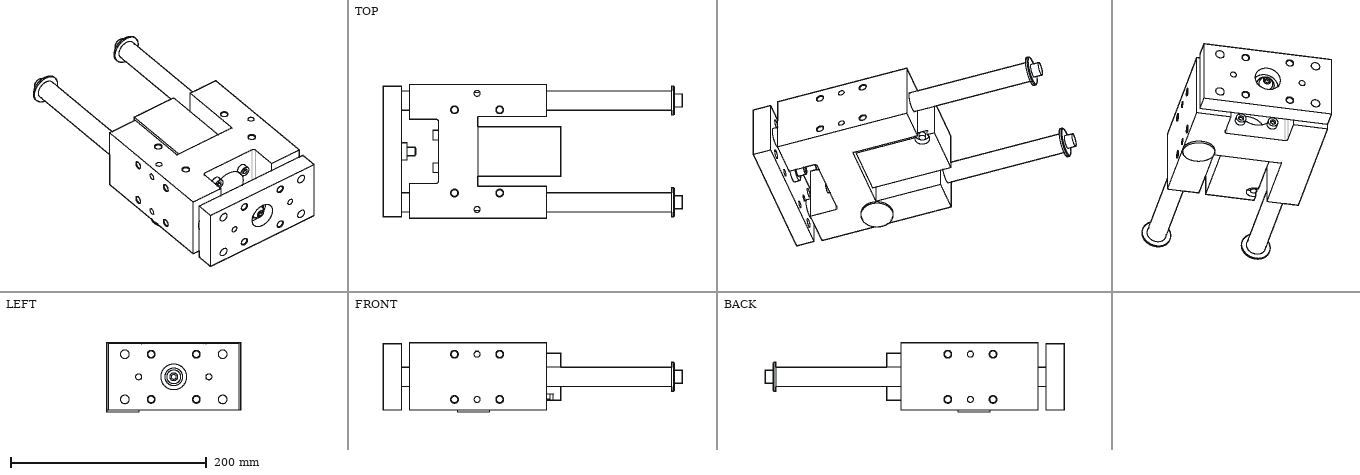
import cadquery as cq
import math

OVERALL_LENGTH = 306.0

PLATE_THICKNESS = 19.0
PLATE_WIDTH = 133.7
PLATE_HEIGHT = 68.0

ROD_DIAMETER = 20.0
ROD_SPACING = 104.0
STOP_DIAMETER = 30.0
STOP_THICKNESS = 2.8
STOP_CHAMFER = 1.0
STOP_BOLT_DIAMETER = 13.5
STOP_BOLT_LENGTH = 8.3

HOUSING_START = 27.0
HOUSING_LENGTH = 140.0
HOUSING_WIDTH = 137.0
HOUSING_BOTTOM = -PLATE_HEIGHT / 2
HOUSING_HEIGHT = 69.0
HOUSING_END = HOUSING_START + HOUSING_LENGTH
HOUSING_MIDDLE_Z = HOUSING_BOTTOM + HOUSING_HEIGHT / 2
HOUSING_TOP = HOUSING_BOTTOM + HOUSING_HEIGHT

FRONT_OPENING_WIDTH = 65.5
FRONT_OPENING_DEPTH = 29.7
FRONT_OPENING_FILLET = 2.5
REAR_OPENING_WIDTH = 71.0
REAR_OPENING_DEPTH = 70.0
WEB_FRONT = HOUSING_START + FRONT_OPENING_DEPTH
WEB_REAR = HOUSING_END - REAR_OPENING_DEPTH

BLOCK_LENGTH = 84.8
BLOCK_WIDTH = 50.8
BLOCK_HEIGHT = 48.5
WEB_BORE_DIAMETER = 38.0

PIN_RECESS_DIAMETER = 15.0
PIN_RECESS_HEIGHT = 6.5
PIN_RECESS_INSET = 3.7
PIN_RECESS_X = 167.5
PIN_DIAMETER = 6.7
PIN_LENGTH = 5.0

HEAD_SPACING = 33.5
HEAD_DIAMETER = 10.0
HEAD_HEIGHT = 5.8
HEAD_SOCKET = 5.0
HEAD_SOCKET_DEPTH = 2.8

PAD_DIAMETER = 33.0
PAD_THICKNESS = 2.0
PAD_X = 92.5

HOLE_PITCH = 46.2
THREAD_DIAMETER = 6.7
THREAD_CHAMFER = 0.5
THREAD_DEPTH = 12.2
DRILL_POINT_ANGLE = 118.0
DOWEL_DIAMETER = 6.0
DOWEL_DEPTH = 8.3
HOLES_MIDDLE_X = 96.0
TOP_THREAD_SPACING = 85.0
TOP_DOWEL_SPACING = 118.7
PLATE_BOLT_DIAMETER = 9.0
PLATE_BOLT_SPACING = 100.0
PLATE_DOWEL_SPACING = 72.0

RECESS_DIAMETER = 26.3
RECESS_DEPTH = 12.0
COUPLING_FLANGE_DIAMETER = 18.0
COUPLING_FLANGE_LENGTH = 5.5
COUPLING_STUD_DIAMETER = 9.0
COUPLING_STUD_LENGTH = 9.2
COUPLING_STUD_CHAMFER = 1.2
COUPLING_WASHER_THICKNESS = 1.8
BUTTON_DIAMETER = 14.0
BUTTON_TOP_DIAMETER = 8.0
BUTTON_HEIGHT = 6.7
BUTTON_SOCKET = 5.0
BUTTON_SOCKET_DEPTH = 2.8


def x_rod(start, length, diameter, y=0.0, z=0.0):
    """Cylinder along +X that begins at the given X."""
    return cq.Workplane("YZ", origin=(start, y, z)).circle(diameter / 2).extrude(length)


def x_hexagon(start, length, across_flats):
    """Hexagonal prism along +X on the X axis, with two corners on the Z direction."""
    across_corners = across_flats / math.cos(math.pi / 6)
    turned_plane = cq.Workplane("YZ", origin=(start, 0, 0)).transformed(rotate=(0, 0, 30))
    return turned_plane.polygon(6, across_corners).extrude(length)


def box_from(start, length, width, height, middle_z=0.0):
    """Box centred on Y that begins at the given X."""
    return cq.Workplane("XY").box(length, width, height).translate((start + length / 2, 0, middle_z))


def thread_mouth(base, axis):
    """Cone that chamfers the mouth of a threaded hole."""
    radius = THREAD_DIAMETER / 2
    return cq.Solid.makeCone(radius + THREAD_CHAMFER, radius, THREAD_CHAMFER, base, axis)


def threaded_hole(point, direction):
    """Cutter for a blind threaded hole with a chamfered mouth and a drill point."""
    radius = THREAD_DIAMETER / 2
    tip_length = radius / math.tan(math.radians(DRILL_POINT_ANGLE / 2))
    base = cq.Vector(*point)
    axis = cq.Vector(*direction)
    hole = cq.Solid.makeCylinder(radius, THREAD_DEPTH, base, axis)
    tip = cq.Solid.makeCone(radius, 0, tip_length, base + axis * THREAD_DEPTH, axis)
    return cq.Workplane(hole.fuse(thread_mouth(base, axis), tip))


def dowel_hole(point, direction):
    """Cutter for a plain blind dowel hole."""
    hole = cq.Solid.makeCylinder(DOWEL_DIAMETER / 2, DOWEL_DEPTH, cq.Vector(*point), cq.Vector(*direction))
    return cq.Workplane(hole)


def housing_frame():
    """H-shaped frame: two side blocks joined by a web."""
    frame = box_from(HOUSING_START, HOUSING_LENGTH, HOUSING_WIDTH, HOUSING_HEIGHT, HOUSING_MIDDLE_Z)
    front = box_from(
        HOUSING_START, FRONT_OPENING_DEPTH, FRONT_OPENING_WIDTH, HOUSING_HEIGHT, HOUSING_MIDDLE_Z
    )
    front = front.edges("|Z and >X").fillet(FRONT_OPENING_FILLET)
    rear = box_from(WEB_REAR, REAR_OPENING_DEPTH, REAR_OPENING_WIDTH, HOUSING_HEIGHT, HOUSING_MIDDLE_Z)
    return frame.cut(front).cut(rear)


def cylinder_block():
    """Block behind the web, with an edge recess that holds a short pin."""
    block = box_from(WEB_REAR, BLOCK_LENGTH, BLOCK_WIDTH, BLOCK_HEIGHT)
    recess_top = PIN_RECESS_HEIGHT - BLOCK_HEIGHT / 2
    place = cq.Workplane("XY", origin=(PIN_RECESS_X, PIN_RECESS_INSET - BLOCK_WIDTH / 2, recess_top))
    recess = place.circle(PIN_RECESS_DIAMETER / 2).extrude(-PIN_RECESS_HEIGHT)
    pin = place.circle(PIN_DIAMETER / 2).extrude(-PIN_LENGTH)
    return block.cut(recess).union(pin)


def screw_head():
    """Socket screw head that stands on the front of the web, on the X axis."""
    start = WEB_FRONT - HEAD_HEIGHT
    head = x_rod(start, HEAD_HEIGHT, HEAD_DIAMETER)
    return head.cut(x_hexagon(start, HEAD_SOCKET_DEPTH, HEAD_SOCKET))


def cut_side_holes(body):
    """Threaded and dowel holes in both long sides."""
    for side in (-1, 1):
        y = side * HOUSING_WIDTH / 2
        for level in (-1, 1):
            z = level * HOLE_PITCH / 2
            body = body.cut(dowel_hole((HOLES_MIDDLE_X, y, z), (0, -side, 0)))
            for end in (-1, 1):
                x = HOLES_MIDDLE_X + end * HOLE_PITCH / 2
                body = body.cut(threaded_hole((x, y, z), (0, -side, 0)))
    return body


def cut_top_holes(body):
    """Threaded and dowel holes in the top face."""
    for side in (-1, 1):
        dowel_point = (HOLES_MIDDLE_X, side * TOP_DOWEL_SPACING / 2, HOUSING_TOP)
        body = body.cut(dowel_hole(dowel_point, (0, 0, -1)))
        for end in (-1, 1):
            x = HOLES_MIDDLE_X + end * HOLE_PITCH / 2
            point = (x, side * TOP_THREAD_SPACING / 2, HOUSING_TOP)
            body = body.cut(threaded_hole(point, (0, 0, -1)))
    return body


def make_housing():
    body = housing_frame()
    body = body.union(cylinder_block())
    body = body.cut(x_rod(WEB_FRONT, WEB_REAR - WEB_FRONT, WEB_BORE_DIAMETER))

    for y_side in (-1, 1):
        for z_side in (-1, 1):
            place = (0, y_side * HEAD_SPACING / 2, z_side * HEAD_SPACING / 2)
            body = body.union(screw_head().translate(place))

    pad = cq.Workplane("XY", origin=(PAD_X, ROD_SPACING / 2, HOUSING_BOTTOM))
    body = body.union(pad.circle(PAD_DIAMETER / 2).extrude(-PAD_THICKNESS))

    for side in (-1, 1):
        body = body.cut(x_rod(HOUSING_START, HOUSING_LENGTH, ROD_DIAMETER, side * ROD_SPACING / 2))
    return cut_top_holes(cut_side_holes(body))


def plate_thread(y, z):
    """Cutter for a threaded hole through the plate, chamfered at the outer face."""
    hole = x_rod(0, PLATE_THICKNESS, THREAD_DIAMETER, y, z)
    return hole.union(cq.Workplane(thread_mouth(cq.Vector(0, y, z), cq.Vector(1, 0, 0))))


def make_plate():
    """End plate with its holes and the central recess."""
    plate = box_from(0, PLATE_THICKNESS, PLATE_WIDTH, PLATE_HEIGHT)
    plate = plate.cut(x_rod(0, RECESS_DEPTH, RECESS_DIAMETER))
    for side in (-1, 1):
        dowel_y = side * PLATE_DOWEL_SPACING / 2
        plate = plate.cut(x_rod(0, PLATE_THICKNESS, DOWEL_DIAMETER, dowel_y))
        for level in (-1, 1):
            z = level * HOLE_PITCH / 2
            bolt_y = side * PLATE_BOLT_SPACING / 2
            plate = plate.cut(x_rod(0, PLATE_THICKNESS, PLATE_BOLT_DIAMETER, bolt_y, z))
            plate = plate.cut(plate_thread(side * HOLE_PITCH / 2, z))
    return plate


def button_screw():
    """Domed socket screw on a thin washer, standing on the floor of the recess."""
    base = RECESS_DEPTH - COUPLING_WASHER_THICKNESS
    washer = x_rod(base, COUPLING_WASHER_THICKNESS, COUPLING_FLANGE_DIAMETER)
    top = base - BUTTON_HEIGHT
    rim_radius = BUTTON_DIAMETER / 2
    top_radius = BUTTON_TOP_DIAMETER / 2
    to_centre = (rim_radius**2 - top_radius**2 - BUTTON_HEIGHT**2) / (2 * BUTTON_HEIGHT)
    sphere_radius = math.hypot(rim_radius, to_centre)
    half_angle = (math.atan2(to_centre, rim_radius) + math.atan2(to_centre + BUTTON_HEIGHT, top_radius)) / 2
    middle = (
        base + to_centre - sphere_radius * math.sin(half_angle),
        sphere_radius * math.cos(half_angle),
    )
    head = (
        cq.Workplane("XY")
        .moveTo(base, 0)
        .lineTo(base, rim_radius)
        .threePointArc(middle, (top, top_radius))
        .lineTo(top, 0)
        .close()
        .revolve(360, (0, 0, 0), (1, 0, 0))
    )
    head = head.cut(x_hexagon(top, BUTTON_SOCKET_DEPTH, BUTTON_SOCKET))
    return washer.union(head)


def make_coupling():
    """Flange and stud on the inner face of the plate."""
    flange = x_rod(PLATE_THICKNESS, COUPLING_FLANGE_LENGTH, COUPLING_FLANGE_DIAMETER)
    stud_start = PLATE_THICKNESS + COUPLING_FLANGE_LENGTH
    stud = x_rod(stud_start, COUPLING_STUD_LENGTH, COUPLING_STUD_DIAMETER)
    return flange.union(stud.faces(">X").chamfer(COUPLING_STUD_CHAMFER))


def make_rod():
    """Guide rod on the X axis with its stop washer and the bolt that holds it."""
    bolt_start = OVERALL_LENGTH - STOP_BOLT_LENGTH
    stop_start = bolt_start - STOP_THICKNESS
    rod = x_rod(PLATE_THICKNESS, stop_start - PLATE_THICKNESS, ROD_DIAMETER)
    stop = x_rod(stop_start, STOP_THICKNESS, STOP_DIAMETER).faces(">X").chamfer(STOP_CHAMFER)
    bolt = x_rod(bolt_start, STOP_BOLT_LENGTH, STOP_BOLT_DIAMETER)
    return rod.union(stop).union(bolt)


def make_slide():
    body = make_plate().union(button_screw()).union(make_coupling())
    for side in (-1, 1):
        body = body.union(make_rod().translate((0, side * ROD_SPACING / 2, 0)))
    return body


housing = make_housing()
slide = make_slide()

result = cq.Compound.makeCompound([housing.val(), slide.val()])